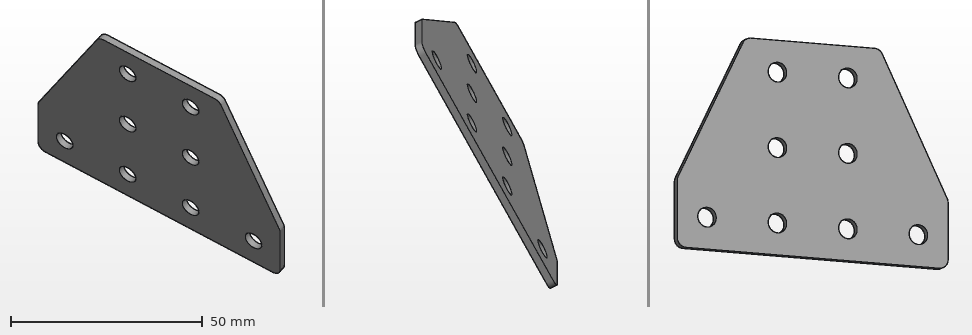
import cadquery as cq

width = 77.0
height = 57.0
thickness = 2.0
side_height = 18.1
top_inset = 19.4
corner_radius = 2.5

hole_diameter = 5.2
hole_pitch = 20.0
bottom_margin = 8.5
holes_per_row = [4, 2, 2]

half_width = width / 2
half_top = half_width - top_inset


def make_plate():
    """Extrude the outline through the thickness and round its corners."""
    outline = [
        (-half_width, 0),
        (half_width, 0),
        (half_width, side_height),
        (half_top, height),
        (-half_top, height),
        (-half_width, side_height),
    ]
    plate = cq.Workplane("XZ").polyline(outline).close().extrude(thickness)
    return plate.edges("|Y").fillet(corner_radius)


def hole_centers():
    """Return the hole centers, each row centered on the plate."""
    centers = []
    for row, count in enumerate(holes_per_row):
        z = bottom_margin + row * hole_pitch
        for column in range(count):
            x = (column - (count - 1) / 2) * hole_pitch
            centers.append((x, z))
    return centers


holes = cq.Workplane("XZ").pushPoints(hole_centers()).circle(hole_diameter / 2).extrude(thickness)
result = make_plate().cut(holes)